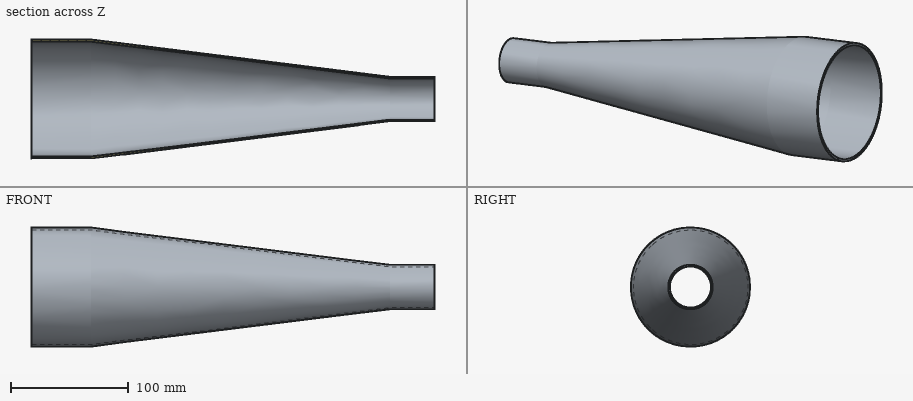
import cadquery as cq

large_outer_diameter = 101.6
large_inner_diameter = 97.38
small_outer_diameter = 38.1
small_inner_diameter = 34.8
total_length = 342.9
large_end_length = 50.8
small_end_length = 38.1
wall_change_x = 152.4

large_outer_radius = large_outer_diameter / 2
large_inner_radius = large_inner_diameter / 2
small_outer_radius = small_outer_diameter / 2
small_inner_radius = small_inner_diameter / 2
thin_wall = small_outer_radius - small_inner_radius

cone_start_x = large_end_length
cone_end_x = total_length - small_end_length
cone_slope = (large_outer_radius - small_outer_radius) / (cone_end_x - cone_start_x)


def outer_cone_radius(x):
    """Radius of the outer cone at a position along the axis."""
    return large_outer_radius - cone_slope * (x - cone_start_x)


def revolved_body(profile):
    """Solid of revolution about X through the given (x, radius) points."""
    return (
        cq.Workplane("XY")
        .polyline([(0, 0), *profile, (total_length, 0)])
        .close()
        .revolve(360, (0, 0, 0), (1, 0, 0))
    )


def outer_body():
    """Large cylinder, cone and small cylinder."""
    return revolved_body([
        (0, large_outer_radius),
        (cone_start_x, large_outer_radius),
        (cone_end_x, small_outer_radius),
        (total_length, small_outer_radius),
    ])


def bore():
    """Through bore whose cone bends slightly where the thin wall begins."""
    return revolved_body([
        (0, large_inner_radius),
        (cone_start_x, large_inner_radius),
        (wall_change_x, outer_cone_radius(wall_change_x) - thin_wall),
        (cone_end_x, small_inner_radius),
        (total_length, small_inner_radius),
    ])


result = outer_body().cut(bore())